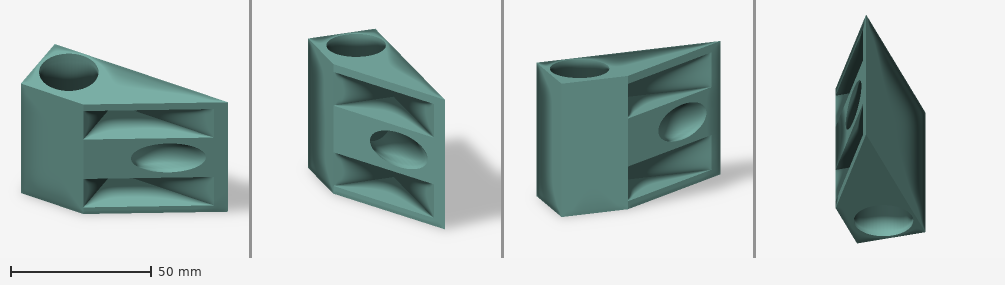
import cadquery as cq

length = 70.0
depth = 25.5
height = 50.0
front_length = 25.2

bore_diameter = 21.2
bore_x = 12.0
bore_from_back = 11.8

cross_hole_diameter = 13.2
cross_hole_from_back = 10.5
cross_hole_z = height / 2
cross_hole_floor_x = 26.0

pocket_height = 13.0
pocket_margin = 3.0
back_wall = 2.5


def make_wedge():
    """Right-angled block whose front tapers to a sharp vertical edge."""
    outline = [(0, 0), (length, 0), (front_length, -depth), (0, -depth)]
    return cq.Workplane("XY").polyline(outline).close().extrude(height)


def make_bore():
    """Vertical cylinder over the full height."""
    return (
        cq.Workplane("XY")
        .center(bore_x, -bore_from_back)
        .circle(bore_diameter / 2)
        .extrude(height)
    )


def make_cross_hole():
    """Cylinder along X from its flat floor out past the sloping face."""
    return (
        cq.Workplane("YZ", origin=(cross_hole_floor_x, -cross_hole_from_back, cross_hole_z))
        .circle(cross_hole_diameter / 2)
        .extrude(length - cross_hole_floor_x)
    )


def make_pocket(bottom_z):
    """Box with its floor parallel to the back face, open through the slope."""
    return (
        cq.Workplane("XY", origin=(front_length, -depth, bottom_z))
        .box(length - front_length, depth - back_wall, pocket_height, centered=False)
    )


result = make_wedge().cut(make_bore()).cut(make_cross_hole())
for pocket_z in (pocket_margin, height - pocket_margin - pocket_height):
    result = result.cut(make_pocket(pocket_z))